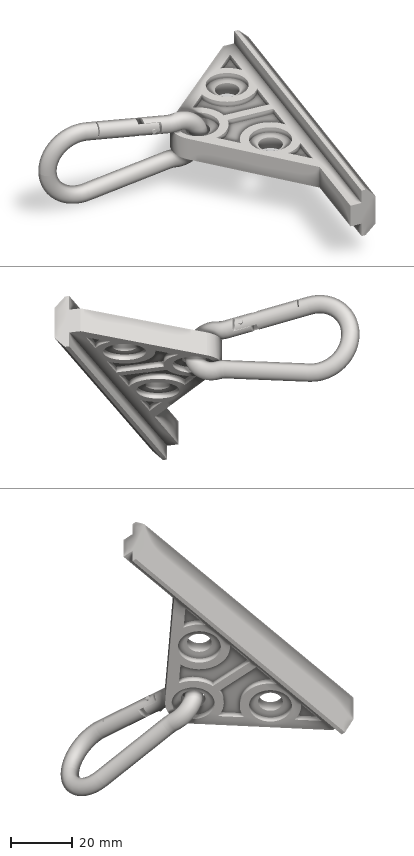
import cadquery as cq
import math


RAIL_LENGTH = 103.0
RAIL_DEPTH = 9.0
FLANGE_HEIGHT = 17.7
FLANGE_DEPTH = 5.0
CHAMFER_DEPTH = 3.6
BACK_FACE_HEIGHT = 10.5

PLATE_THICKNESS = 8.0
BRACKET_CENTER_X = 39.0
HOLE_DIAMETER = 8.0
COUNTERBORE_DIAMETER = 14.0
COUNTERBORE_DEPTH = 2.0
SIDE_HOLE_OFFSET = 17.5
SIDE_HOLE_DEPTH = 17.0
TIP_HOLE_DEPTH = 35.1

POCKET_DEPTH = 2.0
POCKET_BORDER = 3.9
BOSS_RADIUS = 10.0
CENTER_RIB_WIDTH = 3.0

WIRE_DIAMETER = 6.0
CARABINER_END_DEPTH = 91.6
BIG_BEND_RADIUS = 11.9
SMALL_BEND_DEPTH = 41.9
SMALL_BEND_RADIUS = 7.1
BLEND_RADIUS = 10.0
LIMB_ANGLE = 9.5

FORK_SLOT_WIDTH = 4.0
FORK_CLEARANCE = 0.1
SHOULDER_DEPTH = 49.1
SHOULDER_GAP = 0.8
TONGUE_END_DEPTH = 55.0
FORK_SLOT_END_DEPTH = 57.2
PIN_DIAMETER = 1.5
PIN_LENGTH = 7.0
PIN_DEPTH = 52.0
PIN_HEIGHT = 7.7
NOSE_LENGTH = 3.1
NOSE_GAP_WIDTH = 0.5
NOSE_GAP_BELOW_AXIS = 0.7

half_thickness = PLATE_THICKNESS / 2
wire_radius = WIRE_DIAMETER / 2
big_bend_depth = CARABINER_END_DEPTH - BIG_BEND_RADIUS - wire_radius
tip_radius = (BRACKET_CENTER_X + RAIL_DEPTH - TIP_HOLE_DEPTH) / math.sqrt(2)
hole_centers = [
    (BRACKET_CENTER_X - SIDE_HOLE_OFFSET, -SIDE_HOLE_DEPTH),
    (BRACKET_CENTER_X + SIDE_HOLE_OFFSET, -SIDE_HOLE_DEPTH),
    (BRACKET_CENTER_X, -TIP_HOLE_DEPTH),
]


def make_rail():
    """T-section rail, its flange chamfered toward the back face."""
    upper = [
        (0, BACK_FACE_HEIGHT / 2),
        (-CHAMFER_DEPTH, FLANGE_HEIGHT / 2),
        (-FLANGE_DEPTH, FLANGE_HEIGHT / 2),
        (-FLANGE_DEPTH, half_thickness),
        (-RAIL_DEPTH, half_thickness),
    ]
    lower = [(y, -z) for y, z in reversed(upper)]
    return cq.Workplane("YZ").polyline(upper + lower).close().extrude(RAIL_LENGTH)


def make_plate():
    """Right-angled triangle under the rail, its tip rounded about the tip hole."""
    tangent = tip_radius / math.sqrt(2)
    tangent_y = -TIP_HOLE_DEPTH - tangent
    return (
        cq.Workplane("XY", origin=(0, 0, -half_thickness))
        .moveTo(0, -FLANGE_DEPTH)
        .lineTo(0, -RAIL_DEPTH)
        .lineTo(BRACKET_CENTER_X - tangent, tangent_y)
        .threePointArc(
            (BRACKET_CENTER_X, -TIP_HOLE_DEPTH - tip_radius),
            (BRACKET_CENTER_X + tangent, tangent_y),
        )
        .lineTo(2 * BRACKET_CENTER_X, -RAIL_DEPTH)
        .lineTo(2 * BRACKET_CENTER_X, -FLANGE_DEPTH)
        .close()
        .extrude(PLATE_THICKNESS)
    )


def make_pockets():
    """Pockets of the top face: an inset triangle, less the bosses around the holes and the center rib."""
    half_width = BRACKET_CENTER_X - POCKET_BORDER * math.sqrt(2)
    floor = cq.Workplane("XY", origin=(0, 0, half_thickness - POCKET_DEPTH))
    triangle = (
        floor.moveTo(BRACKET_CENTER_X - half_width, -RAIL_DEPTH)
        .lineTo(BRACKET_CENTER_X + half_width, -RAIL_DEPTH)
        .lineTo(BRACKET_CENTER_X, -RAIL_DEPTH - half_width)
        .close()
        .extrude(POCKET_DEPTH)
    )
    bosses = floor.pushPoints(hole_centers).circle(BOSS_RADIUS).extrude(POCKET_DEPTH)
    rib_length = TIP_HOLE_DEPTH - RAIL_DEPTH
    rib_center_y = -RAIL_DEPTH - rib_length / 2
    rib = (
        floor.center(BRACKET_CENTER_X, rib_center_y)
        .rect(CENTER_RIB_WIDTH, rib_length)
        .extrude(POCKET_DEPTH)
    )
    return triangle.cut(bosses).cut(rib)


def make_bracket():
    """Rail and plate, with holes counterbored and pockets sunk from both faces."""
    bracket = make_rail().union(make_plate())
    holes = cq.Workplane("XY").pushPoints(hole_centers).circle(HOLE_DIAMETER / 2)
    bracket = bracket.cut(holes.extrude(half_thickness, both=True))
    counterbores = (
        cq.Workplane("XY", origin=(0, 0, half_thickness - COUNTERBORE_DEPTH))
        .pushPoints(hole_centers)
        .circle(COUNTERBORE_DIAMETER / 2)
        .extrude(COUNTERBORE_DEPTH)
    )
    for recess in (counterbores, make_pockets()):
        bracket = bracket.cut(recess).cut(recess.mirror("XY"))
    return bracket


angle = math.radians(LIMB_ANGLE)
normal = (-math.sin(angle), math.cos(angle))
big_tangent = (
    big_bend_depth + BIG_BEND_RADIUS * normal[0],
    BIG_BEND_RADIUS * normal[1],
)


def point_on_arc(center, radius, direction):
    return (center[0] + radius * math.cos(direction), center[1] + radius * math.sin(direction))


def make_wire():
    """Closed teardrop loop: two bends, two straight limbs and a blend arc at each side."""
    bend_spacing = big_bend_depth - SMALL_BEND_DEPTH
    across = BIG_BEND_RADIUS + BLEND_RADIUS - bend_spacing * math.sin(angle)
    along = math.sqrt((SMALL_BEND_RADIUS + BLEND_RADIUS) ** 2 - across**2)
    small_center = (SMALL_BEND_DEPTH, 0)
    direction = math.atan2(across, along) + angle
    blend_center = point_on_arc(small_center, SMALL_BEND_RADIUS + BLEND_RADIUS, direction)
    limb_direction = angle - math.pi / 2
    blend_start = point_on_arc(small_center, SMALL_BEND_RADIUS, direction)
    middle_direction = (direction - math.pi + limb_direction) / 2
    blend_middle = point_on_arc(blend_center, BLEND_RADIUS, middle_direction)
    blend_end = point_on_arc(blend_center, BLEND_RADIUS, limb_direction)

    far_end = (-CARABINER_END_DEPTH + wire_radius, 0)
    near_end = (SMALL_BEND_RADIUS - SMALL_BEND_DEPTH, 0)
    big_bend_middle = point_on_arc((big_bend_depth, 0), BIG_BEND_RADIUS, math.pi / 4)

    def upper(point):
        return (-point[0], point[1])

    def lower(point):
        return (-point[0], -point[1])

    plane = cq.Plane(origin=(BRACKET_CENTER_X, 0, 0), xDir=(0, 1, 0), normal=(1, 0, 0))
    path = (
        cq.Workplane(plane)
        .moveTo(*far_end)
        .threePointArc(upper(big_bend_middle), upper(big_tangent))
        .lineTo(*upper(blend_end))
        .threePointArc(upper(blend_middle), upper(blend_start))
        .threePointArc(near_end, lower(blend_start))
        .threePointArc(lower(blend_middle), lower(blend_end))
        .lineTo(*lower(big_tangent))
        .threePointArc(lower(big_bend_middle), far_end)
    )
    section = cq.Workplane("XY", origin=(BRACKET_CENTER_X, far_end[0], 0))
    return section.circle(wire_radius).sweep(path)


def limb_block(width, start_depth, end_depth):
    """Block centered on the wire's plane that spans the upper limb between two depths."""
    length = end_depth - start_depth
    block = cq.Workplane("XY").box(width, length, 2 * WIRE_DIAMETER, centered=(True, False, False))
    return block.translate((BRACKET_CENTER_X, -end_depth, 0))


def make_hinge_clearance():
    """Space around the hinge tongue: the gate's fork slot and the gap at the shoulders."""
    tongue_width = FORK_SLOT_WIDTH - 2 * FORK_CLEARANCE
    shoulder_gap = limb_block(2 * WIRE_DIAMETER, SHOULDER_DEPTH, SHOULDER_DEPTH + SHOULDER_GAP)
    fork_slot = limb_block(FORK_SLOT_WIDTH, SHOULDER_DEPTH, FORK_SLOT_END_DEPTH)
    tongue = limb_block(tongue_width, SHOULDER_DEPTH, TONGUE_END_DEPTH)
    return shoulder_gap.union(fork_slot).cut(tongue)


def make_nose_gap():
    """Narrow gap square to the limb between gate and nose, open to the outside."""
    nose_plane = cq.Plane(
        origin=(BRACKET_CENTER_X, -big_tangent[0], big_tangent[1]),
        xDir=(1, 0, 0),
        normal=(0, -normal[0], normal[1]),
    )
    return (
        cq.Workplane(nose_plane)
        .workplane(offset=-NOSE_GAP_BELOW_AXIS)
        .center(0, NOSE_LENGTH)
        .rect(2 * WIRE_DIAMETER, NOSE_GAP_WIDTH)
        .extrude(WIRE_DIAMETER)
    )


def make_carabiner():
    """Wire loop with its gate, joined across the hinge by the pin."""
    pin = (
        cq.Workplane("YZ", origin=(BRACKET_CENTER_X, -PIN_DEPTH, PIN_HEIGHT))
        .circle(PIN_DIAMETER / 2)
        .extrude(PIN_LENGTH / 2, both=True)
    )
    return make_wire().cut(make_hinge_clearance()).cut(make_nose_gap()).union(pin)


result = make_bracket().union(make_carabiner())